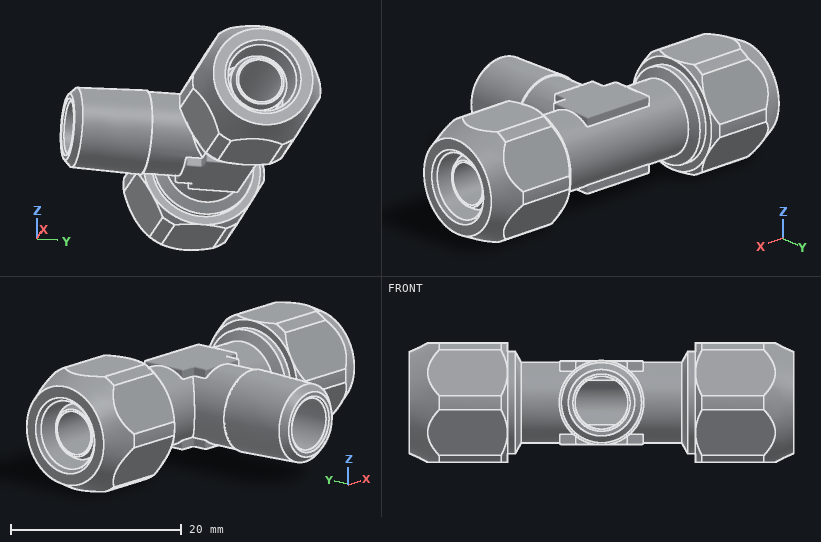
import cadquery as cq
import math

overall_length = 45.0
half_length = overall_length / 2
run_radius = 4.75
run_bore_radius = 2.6

branch_reach = 18.5
branch_radius = 4.8
thread_length = 9.1
thread_start_radius = 4.95
thread_taper = 1 / 16
thread_end_chamfer = 0.8
branch_bore_radius = 3.1
branch_mouth_chamfer = 0.25

nut_length = 11.5
nut_across_flats = 14.0
nut_turned_radius = 7.65
nut_face_radius = 5.95
nut_cone_length = 3.5
nut_back_chamfer = 0.75
nut_hole_radius = 4.1
nut_hole_depth = 8.0
nut_mouth_chamfer = 0.45

collar_radius = 6.0
collar_length = 0.9
collar_cone_length = 0.7

support_radius = 3.35
support_tip_depth = 1.6
support_tip_radius = 2.97
support_taper_length = 0.8
support_tip_bevel = 0.13

pad_height = 4.9
pad_half_length = 4.9
pad_half_width = 3.0
pad_branch_half_width = 3.0
pad_branch_reach = 4.95
pad_edge_radius = 0.2


def revolve_about_x(profile):
    """Turn a list of (x, radius) points about the X axis."""
    return cq.Workplane("XY").polyline(profile).close().revolve(360, (0, 0, 0), (1, 0, 0))


def revolve_about_y(profile):
    """Turn a list of (radius, y) points about the Y axis."""
    return cq.Workplane("XY").polyline(profile).close().revolve(360, (0, 0, 0), (0, 1, 0))


def rod_along_x(radius, half_span):
    """Cylinder on the X axis reaching half_span to either side of the origin."""
    return cq.Workplane("YZ", origin=(-half_span, 0, 0)).circle(radius).extrude(2 * half_span)


def make_run():
    return rod_along_x(run_radius, half_length - nut_length)


def make_branch():
    thread_start = thread_length - branch_reach
    chamfer_start = thread_end_chamfer - branch_reach
    thread_end_radius = thread_start_radius - (thread_length - thread_end_chamfer) * thread_taper / 2
    return revolve_about_y([
        (0, 0),
        (branch_radius, 0),
        (branch_radius, thread_start),
        (thread_start_radius, thread_start),
        (thread_end_radius, chamfer_start),
        (thread_end_radius - thread_end_chamfer, -branch_reach),
        (0, -branch_reach),
    ])


def make_pads():
    """T-shaped slab through the body whose two faces stand just proud of the round sections."""
    outline = [
        (-pad_half_length, pad_half_width),
        (pad_half_length, pad_half_width),
        (pad_half_length, -pad_half_width),
        (pad_branch_half_width, -pad_half_width),
        (pad_branch_half_width, -pad_branch_reach),
        (-pad_branch_half_width, -pad_branch_reach),
        (-pad_branch_half_width, -pad_half_width),
        (-pad_half_length, -pad_half_width),
    ]
    bottom = cq.Workplane("XY", origin=(0, 0, -pad_height))
    slab = bottom.polyline(outline).close().extrude(2 * pad_height)
    return slab.edges("|Z").fillet(pad_edge_radius).faces("|Z").edges().fillet(pad_edge_radius)


def make_nut():
    """Nut at the +X end: a hexagon trimmed by a turned profile with a long front cone."""
    back = half_length - nut_length
    hexagon = (
        cq.Workplane("YZ", origin=(back, 0, 0))
        .polygon(6, nut_across_flats / math.cos(math.pi / 6))
        .extrude(nut_length)
    )
    envelope = revolve_about_x([
        (back, 0),
        (back, nut_across_flats / 2),
        (back + nut_back_chamfer, nut_turned_radius),
        (half_length - nut_cone_length, nut_turned_radius),
        (half_length, nut_face_radius),
        (half_length, 0),
    ])
    return hexagon.intersect(envelope)


def make_collar():
    """Collar behind the +X nut, tapering down to the run."""
    back = half_length - nut_length
    cone_start = back - collar_length
    cone_end = cone_start - collar_cone_length
    return revolve_about_x([
        (back, 0),
        (back, collar_radius),
        (cone_start, collar_radius),
        (cone_end, run_radius),
        (cone_end, 0),
    ])


def make_nut_hole():
    """Annular tube socket in the +X nut, left around the tapered tube support."""
    hole_floor = half_length - nut_hole_depth
    support_tip = half_length - support_tip_depth
    return revolve_about_x([
        (hole_floor, support_radius),
        (support_tip - support_taper_length, support_radius),
        (support_tip - support_tip_bevel, support_tip_radius),
        (support_tip, support_tip_radius - support_tip_bevel),
        (support_tip, 0),
        (half_length, 0),
        (half_length, nut_hole_radius + nut_mouth_chamfer),
        (half_length - nut_mouth_chamfer, nut_hole_radius),
        (hole_floor, nut_hole_radius),
    ])


def make_run_bore():
    return rod_along_x(run_bore_radius, half_length)


def make_branch_bore():
    return revolve_about_y([
        (0, 0),
        (branch_bore_radius, 0),
        (branch_bore_radius, branch_mouth_chamfer - branch_reach),
        (branch_bore_radius + branch_mouth_chamfer, -branch_reach),
        (0, -branch_reach),
    ])


def on_both_ends(feature):
    """Pair a +X feature with its mirror image at the -X end."""
    return feature.union(feature.mirror("YZ"))


body = make_run().union(make_branch()).union(make_pads())
body = body.union(on_both_ends(make_collar())).union(on_both_ends(make_nut()))
result = body.cut(on_both_ends(make_nut_hole())).cut(make_run_bore()).cut(make_branch_bore())